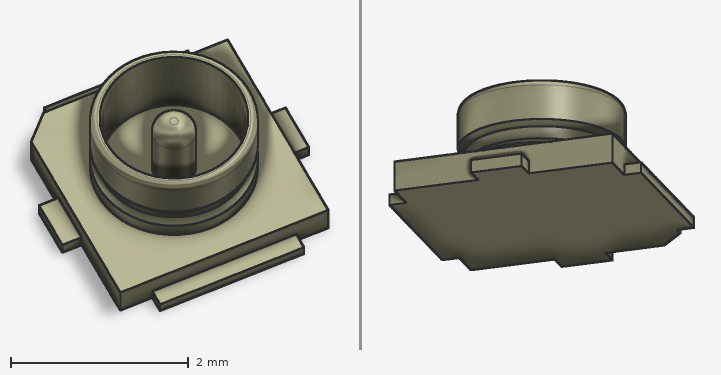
import cadquery as cq

length_x = 3.0
length_y = 3.08
total_height = 1.3

base_side = 2.6
base_height = 0.35
corner_chamfer = 0.3

side_tab_width = 1.8
side_tab_height = 0.125
end_tab_width = 0.605
end_tab_height = 0.15

barrel_radius = 1.89 / 2
groove_radius = 1.755 / 2
bore_radius = 1.67 / 2
lower_rim_top = 0.53
groove_bottom = 0.6
groove_top = 0.745
upper_rim_bottom = 0.807
lip_fillet = 0.08

pin_radius = 0.5 / 2
tip_flat_radius = 0.05
tip_radius = pin_radius - tip_flat_radius
pin_depth_below_lip = 0.068
pin_top = total_height - pin_depth_below_lip


def make_base():
    return (
        cq.Workplane("XY")
        .rect(base_side, base_side)
        .extrude(base_height)
        .edges("|Z and <X and <Y")
        .chamfer(corner_chamfer)
    )


def make_tab_bar(size_x, size_y, height):
    """Bar through the base whose two ends stand out as tabs."""
    return cq.Workplane("XY").rect(size_x, size_y).extrude(height)


def make_barrel():
    profile = (
        cq.Workplane("XZ")
        .moveTo(0, 0)
        .lineTo(barrel_radius, 0)
        .lineTo(barrel_radius, lower_rim_top)
        .lineTo(groove_radius, groove_bottom)
        .lineTo(groove_radius, groove_top)
        .lineTo(barrel_radius, upper_rim_bottom)
        .lineTo(barrel_radius, total_height)
        .lineTo(0, total_height)
        .close()
    )
    barrel = profile.revolve(360, (0, 0), (0, 1))
    return barrel.faces(">Z").edges().fillet(lip_fillet)


def make_bore():
    return (
        cq.Workplane("XY")
        .workplane(offset=base_height)
        .circle(bore_radius)
        .extrude(total_height - base_height)
    )


def make_pin():
    pin = cq.Workplane("XY").circle(pin_radius).extrude(pin_top)
    return pin.faces(">Z").edges().fillet(tip_radius)


base = make_base()
side_tabs = make_tab_bar(length_x, side_tab_width, side_tab_height)
end_tabs = make_tab_bar(end_tab_width, length_y, end_tab_height)

result = (
    base.union(side_tabs)
    .union(end_tabs)
    .union(make_barrel())
    .cut(make_bore())
    .union(make_pin())
)